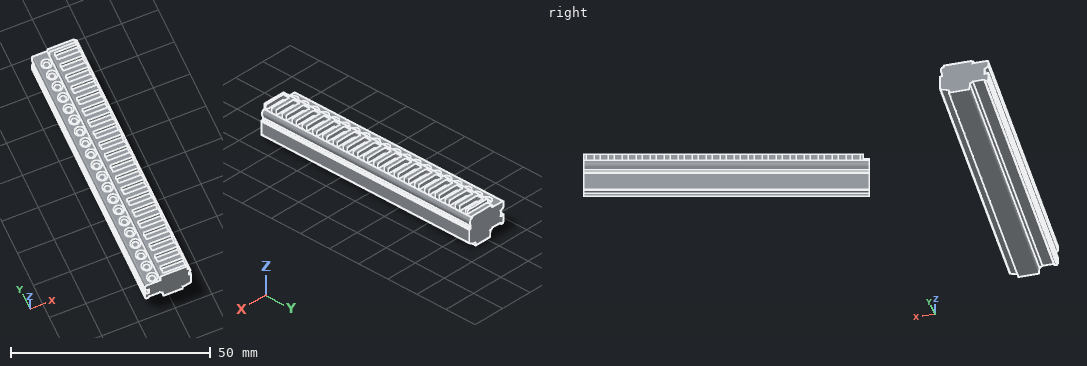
import cadquery as cq

total_length = 71.5
pole_count = 20
pole_pitch = 3.5
first_pole_y = 1.65

width = 12.5
height = 10.6
deck_top = 8.6
deck_underside = 2.4
deck_edge_round = 0.5
block_left = 4.15
block_right = 11.5
block_base = 9.0
block_edge_round = 0.4

groove_depth = 1.1
groove_bottom = 4.35
groove_top = 5.9
groove_mouth_top = 6.65
lip_width = 0.3
lip_height = 0.2
rail_bottom = 1.9
rail_width = 0.85
rail_corner_width = 0.3
rail_corner_height = 0.5

foot_left = 4.9
foot_taper = 0.15
foot_right = 10.2
foot_chamfer_width = 0.8
foot_chamfer_height = 0.6
foot_shoulder_x = foot_left - foot_taper
foot_edge_round = 0.3
foot_right_height = 0.85

bead_x = 12.3
bead_height = 7.65
bead_shoulder = (12.15, 8.5)
side_groove_x = 11.95
side_groove_top = 6.65
panel_top = 6.0
panel_bottom = 1.6
panel_corner = 0.2

hole_x = 2.6
hole_diameter = 2.65
hole_floor_diameter = 1.65
hole_depth = 0.6
slot_left = 5.15
slot_width = 2.1
slot_floor = block_base
slot_corner_round = 0.2

end_step_depth = 1.15
end_step_length = 1.5
end_step_right_round = 0.2


def make_base():
    """Deck, grooves and foot: everything below the raised block."""
    section = (
        cq.Workplane("XZ")
        .moveTo(foot_left, 0)
        .lineTo(foot_right, 0)
        .lineTo(foot_right, foot_right_height)
        .lineTo(width - panel_corner, panel_bottom)
        .lineTo(width, panel_bottom + panel_corner)
        .lineTo(width, panel_top - panel_corner)
        .lineTo(width - panel_corner, panel_top)
        .lineTo(side_groove_x, panel_top)
        .lineTo(side_groove_x, side_groove_top)
        .lineTo(bead_x, bead_height)
        .threePointArc(bead_shoulder, (block_right, block_base))
        .lineTo(block_left, block_base)
        .lineTo(block_left, deck_top)
        .lineTo(deck_edge_round, deck_top)
        .radiusArc((0, deck_top - deck_edge_round), -deck_edge_round)
        .lineTo(0, groove_mouth_top)
        .lineTo(groove_depth, groove_top)
        .lineTo(groove_depth, groove_bottom)
        .lineTo(lip_width, groove_bottom)
        .lineTo(lip_width / 2, groove_bottom + lip_height)
        .lineTo(0, groove_bottom)
        .lineTo(0, rail_bottom + rail_corner_height)
        .lineTo(rail_corner_width, rail_bottom)
        .lineTo(rail_width, rail_bottom)
        .lineTo(rail_width + rail_corner_width, deck_underside)
        .lineTo(foot_shoulder_x - foot_chamfer_width, deck_underside)
        .lineTo(foot_shoulder_x, deck_underside - foot_chamfer_height)
        .close()
    )
    base = section.extrude(-total_length)
    lower_left_edge = cq.selectors.NearestToPointSelector((foot_left, total_length / 2, 0))
    return base.edges(lower_left_edge).fillet(foot_edge_round)


def make_block(top, start, length, right_round):
    """Length of raised block with both long top edges rounded."""
    block = cq.Workplane("XY").box(
        block_right - block_left, length, top - deck_top + block_edge_round, centered=False
    )
    block = block.edges("|Y and >Z and <X").fillet(block_edge_round)
    block = block.edges("|Y and >Z and >X").fillet(right_round)
    return block.translate((block_left, start, deck_top - block_edge_round))


def make_screw_hole(y):
    """Conical recess with a flat floor in the deck."""
    return (
        cq.Workplane("XY", origin=(hole_x, y, deck_top))
        .circle(hole_diameter / 2)
        .workplane(offset=-hole_depth)
        .circle(hole_floor_diameter / 2)
        .loft(ruled=True)
    )


def make_slot(y):
    """Cutter for a slot across the block, open on the +X side."""
    slot = cq.Workplane("XY").box(
        width - slot_left, slot_width, height - slot_floor, centered=(False, True, False)
    )
    slot = slot.edges("|Z and <X").fillet(slot_corner_round)
    return slot.translate((slot_left, y, slot_floor))


end_step_y = total_length - end_step_length
end_step_top = height - end_step_depth

result = make_base()
result = result.union(make_block(height, 0, end_step_y, block_edge_round))
result = result.union(make_block(end_step_top, end_step_y, end_step_length, end_step_right_round))
for pole in range(pole_count):
    pole_y = first_pole_y + pole * pole_pitch
    result = result.cut(make_screw_hole(pole_y))
    result = result.cut(make_slot(pole_y))